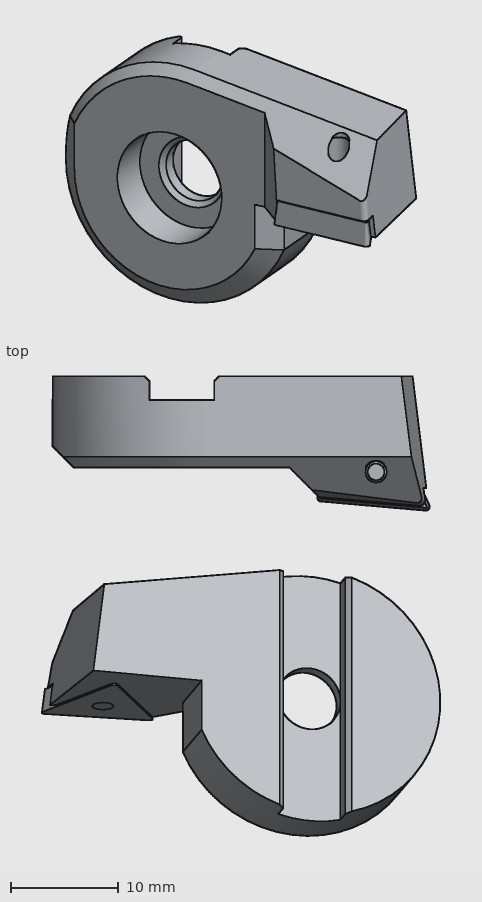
import cadquery as cq
import math


plate_radius = 12.0
plate_thickness = 8.5
upper_chamfer = 1.0
lower_chamfer = 2.0
trim_x = 11.0

bore_diameter = 6.0
bore_chamfer = 0.5
counterbore_diameter = 11.0
counterbore_depth = 4.4
keyway_width = 6.0
keyway_depth = 2.2
keyway_chamfer = 0.5

overall_reach = 23.0
overall_depth = 12.5
relief_angle = 7.0
arm_slope = 10.0
step_x = 10.0
end_x = 21.42
nose_y = -10.35
nose_angle = 5.0
nose_fillet = 0.5

inscribed_radius = 3.2
tip_radius = 0.4
insert_thickness = 2.3
insert_drop = 0.18
tip_clearance_y = -10.4
tip_clearance_x = 22.05

screw_diameter = 1.95
screw_end_diameter = 1.55
screw_length = 4.2
mouth_diameter = 2.1
mouth_z = 8.2

big = 3 * plate_radius
tip_distance = 2 * (inscribed_radius - tip_radius)
tip_angles = [angle - nose_angle for angle in (-30, 90, 210)]
right_tip = math.radians(tip_angles[0])
insert_x = overall_reach - tip_radius - tip_distance * math.cos(right_tip)
insert_y = -overall_depth + tip_radius - tip_distance * math.sin(right_tip)
pocket_height = insert_thickness - insert_drop
relief_slope = math.tan(math.radians(relief_angle))
nose_yaw = math.tan(math.radians(nose_angle))


def half_space(point, normal):
    """Large block filling the side of a plane that its normal points to."""
    return cq.Workplane(cq.Plane(origin=point, normal=normal)).rect(2 * big, 2 * big).extrude(big)


def half_disc(chamfer, up):
    """Upper (up = 1) or lower (up = -1) half of the round plate with its front rim chamfered."""
    disc = cq.Workplane("XZ").circle(plate_radius).extrude(plate_thickness).faces("<Y").chamfer(chamfer)
    return disc.cut(half_space((0, 0, 0), (0, 0, -up)))


def make_plate():
    upper = half_disc(upper_chamfer, 1)
    facet_x = plate_radius - lower_chamfer
    upper = upper.cut(half_space((-facet_x, -plate_thickness, 0), (-1, -1, 0)))

    lower = half_disc(lower_chamfer, -1)
    lower = lower.cut(half_space((trim_x, 0, 0), (1, 0, 0)))
    lower = lower.cut(half_space((trim_x - lower_chamfer, -plate_thickness, 0), (1, -1, 0)))
    return upper.union(lower)


def make_arm():
    slope = math.radians(arm_slope)
    tangent_x = plate_radius * math.sin(slope)
    tangent_z = plate_radius * math.cos(slope)
    far_x = overall_reach + plate_radius
    far_z = tangent_z - (far_x - tangent_x) * math.tan(slope)
    arm = (
        cq.Workplane("XZ")
        .polyline([(0, 0), (tangent_x, tangent_z), (far_x, far_z), (far_x, 0)])
        .close()
        .extrude(overall_depth)
    )
    bevel_start = (tangent_x, upper_chamfer - plate_thickness, tangent_z)
    arm = arm.cut(half_space(bevel_start, (math.sin(slope), -1, math.cos(slope))))
    arm = arm.cut(half_space((end_x, 0, 0), (1, relief_slope, relief_slope)))
    arm = arm.cut(half_space((0, nose_y, 0), (-nose_yaw, -1, relief_slope)))
    corner = cq.selectors.NearestToPointSelector((overall_reach, -overall_depth, pocket_height))
    arm = arm.edges(corner).fillet(nose_fillet)
    step = (
        cq.Workplane("XY")
        .polyline([
            (-big, -plate_thickness),
            (step_x, -plate_thickness),
            (step_x + big, -plate_thickness - big),
            (-big, -plate_thickness - big),
        ])
        .close()
        .extrude(big)
    )
    return arm.cut(step)


def bore():
    through = cq.Workplane("XZ").circle(bore_diameter / 2).extrude(plate_thickness)
    seat_y = counterbore_depth - plate_thickness
    counterbore = (
        cq.Workplane("XZ", origin=(0, seat_y, 0)).circle(counterbore_diameter / 2).extrude(counterbore_depth)
    )
    chamfer = cq.Workplane("XZ", origin=(0, seat_y, 0)).circle(bore_diameter / 2 + bore_chamfer)
    chamfer = chamfer.extrude(-bore_chamfer, taper=45)
    return through.union(counterbore).union(chamfer)


def keyway():
    half_width = keyway_width / 2
    mouth = half_width + keyway_chamfer
    return (
        cq.Workplane("XY", origin=(0, 0, -big))
        .polyline([
            (-mouth, 0),
            (-half_width, -keyway_chamfer),
            (-half_width, -keyway_depth),
            (half_width, -keyway_depth),
            (half_width, -keyway_chamfer),
            (mouth, 0),
        ])
        .close()
        .extrude(2 * big)
    )


def insert_blank():
    """Relieved triangular insert without its hole; it narrows upwards."""
    corners = [
        (tip_distance * math.cos(math.radians(angle)), tip_distance * math.sin(math.radians(angle)))
        for angle in tip_angles
    ]
    return (
        cq.Workplane("XY", origin=(insert_x, insert_y, -insert_drop))
        .polyline(corners)
        .close()
        .offset2D(tip_radius)
        .extrude(insert_thickness, taper=relief_angle)
    )


def vertical_cylinder(diameter, bottom_z, length):
    """Cylinder on the insert axis."""
    return cq.Workplane("XY", origin=(insert_x, insert_y, bottom_z)).circle(diameter / 2).extrude(length)


def screw_hole():
    """Hole for the screw, right through the insert and the arm, with a wider mouth."""
    shank_hole = vertical_cylinder(screw_diameter, -insert_drop, big)
    return shank_hole.union(vertical_cylinder(mouth_diameter, mouth_z, big))


def tip_clearance():
    """Room beside the insert's cutting tip at the end of the arm."""
    return cq.Workplane("XY").box(big, big, pocket_height, centered=False).translate(
        (tip_clearance_x, tip_clearance_y - big, 0)
    )


def make_holder():
    holder = make_plate().union(make_arm())
    for removed in (bore(), keyway(), insert_blank(), tip_clearance(), screw_hole()):
        holder = holder.cut(removed)
    return holder


def make_insert():
    return insert_blank().cut(screw_hole())


def make_screw():
    end_chamfer = (screw_diameter - screw_end_diameter) / 2
    return vertical_cylinder(screw_diameter, -insert_drop, screw_length).faces(">Z").chamfer(end_chamfer)


holder = make_holder()
insert = make_insert()
screw = make_screw()

result = cq.Compound.makeCompound([*holder.solids().vals(), *insert.solids().vals(), *screw.solids().vals()])